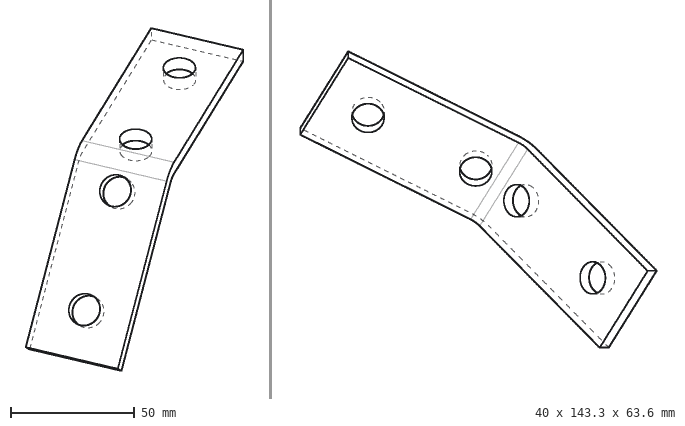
import cadquery as cq
import math

width = 40.0
thickness = 6.0
leg_length = 79.0
inner_radius = 6.0
bend_angle = 45.0
hole_diameter = 13.0
end_to_hole = 20.4
hole_spacing = 50.0

outer_radius = inner_radius + thickness
hole_distances = (
    leg_length - end_to_hole,
    leg_length - end_to_hole - hole_spacing,
)


def point_on_arc(radius, degrees):
    """Point (y, z) on an arc about the bend axis, turned from +Z toward -Y."""
    angle = math.radians(degrees)
    return (-radius * math.sin(angle), radius * math.cos(angle))


def along_sloped_leg(start, distance):
    """Point (y, z) reached by moving down the slope from start."""
    angle = math.radians(bend_angle)
    return (start[0] - distance * math.cos(angle), start[1] - distance * math.sin(angle))


def make_bent_strip():
    """Strip profile in the YZ plane, with the bend axis at the origin."""
    outer_bend_end = point_on_arc(outer_radius, bend_angle)
    inner_bend_end = point_on_arc(inner_radius, bend_angle)
    return (
        cq.Workplane("YZ")
        .moveTo(leg_length, outer_radius)
        .lineTo(0, outer_radius)
        .threePointArc(point_on_arc(outer_radius, bend_angle / 2), outer_bend_end)
        .lineTo(*along_sloped_leg(outer_bend_end, leg_length))
        .lineTo(*along_sloped_leg(inner_bend_end, leg_length))
        .lineTo(*inner_bend_end)
        .threePointArc(point_on_arc(inner_radius, bend_angle / 2), (0, inner_radius))
        .lineTo(leg_length, inner_radius)
        .close()
        .extrude(width / 2, both=True)
    )


def make_level_leg_cutters():
    """Vertical cylinders spanning the thickness of the level leg."""
    return (
        cq.Workplane("XY", origin=(0, 0, inner_radius))
        .pushPoints([(0, distance) for distance in hole_distances])
        .circle(hole_diameter / 2)
        .extrude(thickness)
    )


def make_sloped_leg_cutters():
    """The level-leg cylinders mirrored to -Y and turned about the bend axis."""
    return make_level_leg_cutters().mirror("XZ").rotate((0, 0, 0), (1, 0, 0), bend_angle)


result = make_bent_strip().cut(make_level_leg_cutters()).cut(make_sloped_leg_cutters())